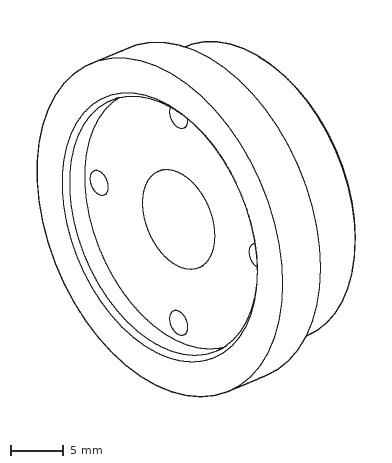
import cadquery as cq

total_length = 12.0
flange_radius = 34.0 / 2
flange_length = 5.0
hub_radius = 30.0 / 2
hub_chamfer = 0.5
root_fillet_radius = 0.4

bore_radius = 10.0 / 2
recess_radius = 26.0 / 2
recess_depth = 2.5
recess_chamfer = 0.5

bolt_hole_diameter = 2.5
bolt_circle_radius = 22.0 / 2
bolt_hole_count = 4


def make_turned_body():
    """Revolve the half section, drawn as (radius, y), about the Y axis."""
    section = (
        cq.Workplane("XY")
        .moveTo(bore_radius, recess_depth)
        .lineTo(recess_radius, recess_depth)
        .lineTo(recess_radius, recess_chamfer)
        .lineTo(recess_radius + recess_chamfer, 0)
        .lineTo(flange_radius, 0)
        .lineTo(flange_radius, flange_length)
        .lineTo(hub_radius + root_fillet_radius, flange_length)
        .radiusArc((hub_radius, flange_length + root_fillet_radius), root_fillet_radius)
        .lineTo(hub_radius, total_length - hub_chamfer)
        .lineTo(hub_radius - hub_chamfer, total_length)
        .lineTo(bore_radius, total_length)
        .close()
    )
    return section.revolve(360, (0, 0, 0), (0, 1, 0))


def make_bolt_holes():
    """Through holes spaced evenly on the bolt circle."""
    pattern = cq.Workplane("XZ").polarArray(bolt_circle_radius, 0, 360, bolt_hole_count)
    return pattern.circle(bolt_hole_diameter / 2).extrude(-total_length)


result = make_turned_body().cut(make_bolt_holes())